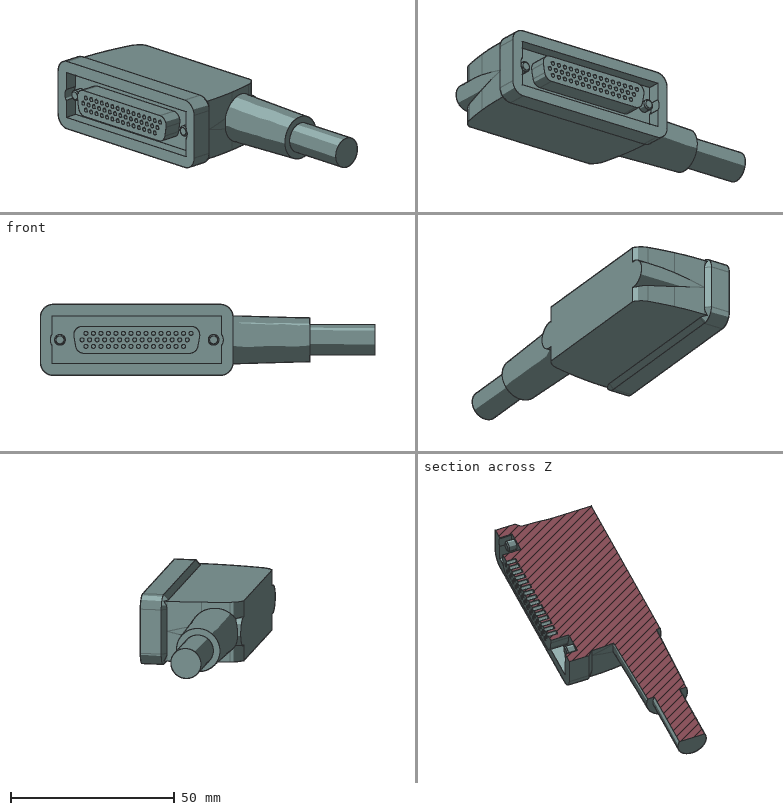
import cadquery as cq
import math


overall_length = 102.5

flange_width = 59.0
flange_height = 21.8
flange_thickness = 6.6
flange_corner_radius = 4.0
flange_chamfer = 1.5
flange_depth = flange_thickness + flange_chamfer

shell_half_width = flange_width / 2 - flange_chamfer
shell_height = flange_height - 2 * flange_chamfer
shell_back = 31.1
flank_mid_half_width = 27.3
flank_mid_y = 18.7
flank_end_half_width = 25.7
flank_end_y = 27.3
back_half_width = 23.0

recess_width = 51.9
recess_height = 14.6
recess_depth = 4.1
screw_spacing = 47.0
screw_offset = screw_spacing / 2
screw_clearance_radius = 3.0
screw_radius = 1.6
screw_chamfer = 0.4
screw_front = 1.2
ear_radius = shell_half_width - screw_offset

plug_height = 8.3
plug_mid_width = 38.1
plug_side_angle = math.radians(10)
plug_corner_radius = 2.7
plug_protrusion = 1.8

top_row_count = 15
top_row_length = 32.2
socket_pitch = top_row_length / (top_row_count - 1)
outer_row_spacing = 4.0
socket_radius = 0.6
socket_depth = 3.1
top_row_start = -15.6
middle_row_start = top_row_start - socket_pitch / 2
socket_rows = [
    (outer_row_spacing / 2, top_row_start, top_row_count),
    (0, middle_row_start, top_row_count),
    (-outer_row_spacing / 2, top_row_start, top_row_count - 1),
]

cable_y = 22.7
cable_radius = 4.7
cable_end = overall_length - flange_width / 2
relief_start = 20.5
relief_end = 53.0
relief_start_radius = 7.7
relief_end_radius = 6.8


def face_plane(y):
    """XZ sketch plane at depth y; a negative extrusion runs toward +Y."""
    return cq.Workplane(cq.Plane(origin=(0, y, 0), xDir=(1, 0, 0), normal=(0, -1, 0)))


def cylinder_y(x, radius, front, back):
    """Cylinder along Y at mid height, between two depths."""
    return face_plane(front).center(x, 0).circle(radius).extrude(front - back)


def make_flange():
    block = face_plane(0).rect(flange_width, flange_height).extrude(-flange_depth)
    return block.edges("|Y").fillet(flange_corner_radius).faces(">Y").chamfer(flange_chamfer)


def make_shell():
    """Shell whose flanks leave the flange square and curl in toward the back."""
    half = (
        cq.Workplane("XY", origin=(0, 0, -shell_height / 2))
        .moveTo(0, flange_thickness)
        .lineTo(shell_half_width, flange_thickness)
        .lineTo(shell_half_width, flange_depth)
        .tangentArcPoint((flank_mid_half_width, flank_mid_y), relative=False)
        .tangentArcPoint((flank_end_half_width, flank_end_y), relative=False)
        .tangentArcPoint((back_half_width, shell_back), relative=False)
        .lineTo(0, shell_back)
        .close()
        .extrude(shell_height)
    )
    return half.union(half.mirror("YZ"))


def make_cable():
    """Cable and tapered strain relief as one turned body along X."""
    return (
        cq.Workplane("XY", origin=(0, cable_y, 0))
        .moveTo(relief_start, 0)
        .lineTo(relief_start, relief_start_radius)
        .lineTo(relief_end, relief_end_radius)
        .lineTo(relief_end, cable_radius)
        .lineTo(cable_end, cable_radius)
        .lineTo(cable_end, 0)
        .close()
        .revolve(360, (0, 0, 0), (1, 0, 0))
    )


def make_plug():
    side_shift = plug_height / 2 * math.tan(plug_side_angle)
    top_half = plug_mid_width / 2 + side_shift
    bottom_half = plug_mid_width / 2 - side_shift
    outline = [
        (-top_half, plug_height / 2),
        (top_half, plug_height / 2),
        (bottom_half, -plug_height / 2),
        (-bottom_half, -plug_height / 2),
    ]
    plug = face_plane(-plug_protrusion).polyline(outline).close()
    plug = plug.extrude(-plug_protrusion - recess_depth)
    return plug.edges("|Y").fillet(plug_corner_radius)


def make_sockets():
    points = [
        (start + column * socket_pitch, z)
        for z, start, count in socket_rows
        for column in range(count)
    ]
    return face_plane(-plug_protrusion).pushPoints(points).circle(socket_radius).extrude(-socket_depth)


result = make_flange().union(make_shell()).union(make_cable())
for x in (-screw_offset, screw_offset):
    result = result.union(cylinder_y(x, ear_radius, flange_thickness, shell_back))

result = result.cut(face_plane(0).rect(recess_width, recess_height).extrude(-recess_depth))
for x in (-screw_offset, screw_offset):
    result = result.cut(cylinder_y(x, screw_clearance_radius, 0, recess_depth))
    screw = cylinder_y(x, screw_radius, screw_front, recess_depth).faces("<Y").chamfer(screw_chamfer)
    result = result.union(screw)

result = result.union(make_plug()).cut(make_sockets())